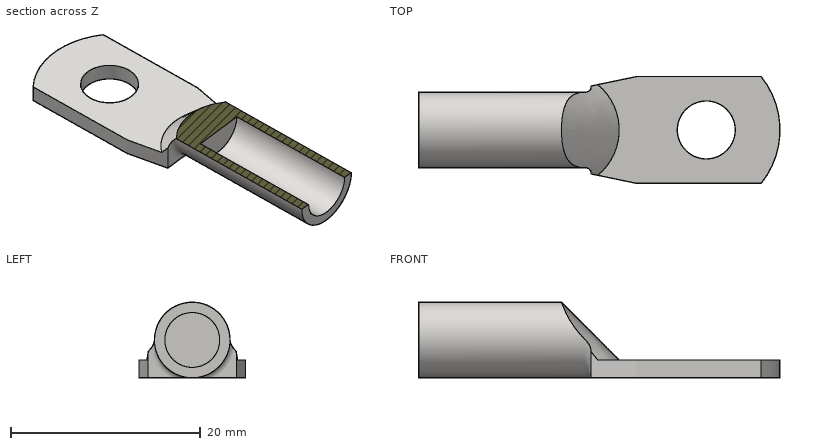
import cadquery as cq
import math

tube_diameter = 8.0
tube_radius = tube_diameter / 2
bore_diameter = 5.8

total_length = 38.2
palm_thickness = 1.9
palm_width = 11.3
palm_half_width = palm_width / 2
palm_start = 18.2
palm_start_half_width = 4.65
taper_end = 23.0
end_arc_start = 36.2
hole_diameter = 6.1
hole_center = 30.4

slope_start = 15.1
slope_crown_radius = 6.2
bore_depth = slope_start

neck_fillet = 0.6


def along_tube(profile_radius, length):
    """Cylinder on the tube axis, starting at X = 0."""
    return (
        cq.Workplane("YZ", origin=(0, 0, tube_radius))
        .circle(profile_radius)
        .extrude(length)
    )


def palm_block():
    """Palm outline, raised to the full height of the tube."""
    return (
        cq.Workplane("XY")
        .moveTo(palm_start, -palm_start_half_width)
        .lineTo(taper_end, -palm_half_width)
        .lineTo(end_arc_start, -palm_half_width)
        .threePointArc((total_length, 0), (end_arc_start, palm_half_width))
        .lineTo(taper_end, palm_half_width)
        .lineTo(palm_start, palm_start_half_width)
        .close()
        .extrude(tube_diameter)
    )


def neck_blend():
    """Ring with a concave quarter-round profile, trimmed to the height of the tube."""
    arc_offset = neck_fillet * (1 - math.sqrt(0.5))
    ring = (
        cq.Workplane("XY", origin=(0, 0, tube_radius))
        .moveTo(palm_start - neck_fillet, 0)
        .lineTo(palm_start - neck_fillet, tube_radius)
        .threePointArc(
            (palm_start - arc_offset, tube_radius + arc_offset),
            (palm_start, tube_radius + neck_fillet),
        )
        .lineTo(palm_start, 0)
        .close()
        .revolve(360, (0, 0, 0), (1, 0, 0))
    )
    above_base = cq.Workplane("XY").box(
        total_length, palm_width, tube_diameter, centered=(False, True, False)
    )
    return ring.intersect(above_base)


def crown_section(height):
    """Horizontal section under the slope: round at the front, reaching back to the tube mouth."""
    front = slope_start + tube_diameter - height
    arc_center = front - slope_crown_radius
    return (
        cq.Workplane("XY", origin=(0, 0, height))
        .moveTo(0, -slope_crown_radius)
        .lineTo(arc_center, -slope_crown_radius)
        .threePointArc((front, 0), (arc_center, slope_crown_radius))
        .lineTo(0, slope_crown_radius)
        .close()
        .wires()
        .val()
    )


def space_above_slope():
    """Space over the palm that the sloped, round-fronted crown leaves free."""
    crown = cq.Solid.makeLoft([crown_section(palm_thickness), crown_section(tube_diameter)], True)
    return (
        cq.Workplane("XY", origin=(0, 0, palm_thickness))
        .box(total_length, palm_width, tube_diameter - palm_thickness, centered=(False, True, False))
        .cut(cq.Workplane(crown))
    )


def bolt_hole():
    """Through hole in the palm."""
    return (
        cq.Workplane("XY", origin=(hole_center, 0, 0))
        .circle(hole_diameter / 2)
        .extrude(palm_thickness)
    )


body = along_tube(tube_radius, palm_start).union(palm_block()).union(neck_blend())
body = body.cut(space_above_slope())
body = body.cut(along_tube(bore_diameter / 2, bore_depth))
result = body.cut(bolt_hole())